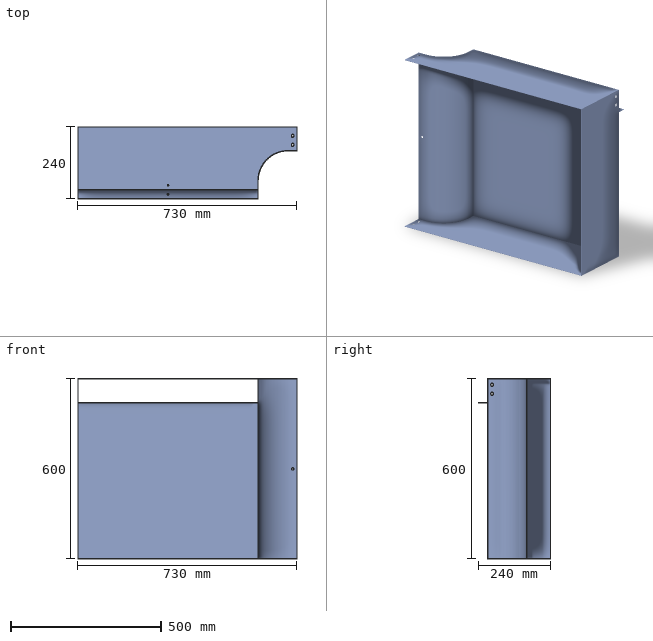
import cadquery as cq

LENGTH = 730.0
DEPTH = 210.0
HEIGHT = 600.0
SHEET = 1.0

OPENING = 80.0
FLANGE = 30.0
BEND_RADIUS = 100.0

BRACKET_SLOT_LENGTH = 10.0
BRACKET_SLOT_WIDTH = 7.0
SLOT_ANGLE = 90.0
LIP_HOLE_DIAMETER = 5.0
END_WALL_HOLE_DIAMETER = 7.0
HOLE_EDGE_DISTANCE = 15.0
SIDE_SLOT_DROPS = (20.0, 50.0)
END_SLOT_SETBACKS = (30.0, 60.0)

FRONT_LENGTH = LENGTH - FLANGE - BEND_RADIUS
FRONT_HEIGHT = HEIGHT - OPENING
END_WALL_Y = DEPTH - OPENING
BEND_START_Y = END_WALL_Y - BEND_RADIUS
BEND_CENTER_X = FRONT_LENGTH + BEND_RADIUS
BEND_SHIFT = BEND_RADIUS * 0.5 ** 0.5
CUT_MARGIN = 10.0


def box(x_range, y_range, z_range):
    """Box spanning the given coordinate ranges."""
    size = [high - low for low, high in (x_range, y_range, z_range)]
    corner = (x_range[0], y_range[0], z_range[0])
    return cq.Workplane("XY").box(*size, centered=False).translate(corner)


def plan_body(inset):
    """Full-height prism of the plan outline, with all walled sides moved in by inset."""
    side_x = FRONT_LENGTH - inset
    arc_shift = BEND_SHIFT * (1 + inset / BEND_RADIUS)
    return (
        cq.Workplane("XY")
        .moveTo(inset, inset)
        .lineTo(side_x, inset)
        .lineTo(side_x, BEND_START_Y)
        .threePointArc(
            (BEND_CENTER_X - arc_shift, BEND_START_Y + arc_shift),
            (BEND_CENTER_X, END_WALL_Y + inset),
        )
        .lineTo(LENGTH, END_WALL_Y + inset)
        .lineTo(LENGTH, DEPTH)
        .lineTo(inset, DEPTH)
        .close()
        .extrude(HEIGHT)
    )


def duct_shell():
    """Walls, top and bottom; the back and the +X end stay open."""
    inner_heights = box((0, LENGTH), (0, DEPTH), (SHEET, HEIGHT - SHEET))
    return plan_body(0).cut(plan_body(SHEET).intersect(inner_heights))


def front_opening():
    """Opening across the top of the front wall, between the side walls and under the top."""
    return box(
        (SHEET, FRONT_LENGTH - SHEET),
        (-CUT_MARGIN, SHEET),
        (FRONT_HEIGHT, HEIGHT - SHEET),
    )


def front_lip():
    """Lip bent outward along the lower edge of the front opening."""
    return box((0, FRONT_LENGTH), (-FLANGE, SHEET), (FRONT_HEIGHT - SHEET, FRONT_HEIGHT))


def vertical_hole(x, y, diameter, z_range):
    """Cutter along Z."""
    bottom, top = z_range
    return cq.Workplane("XY", origin=(x, y, bottom)).circle(diameter / 2).extrude(top - bottom)


def bracket_slots():
    """Paired slots beside both openings, through both facing sheets."""
    end_slots = (
        cq.Workplane("XY")
        .pushPoints([(LENGTH - HOLE_EDGE_DISTANCE, DEPTH - setback) for setback in END_SLOT_SETBACKS])
        .slot2D(BRACKET_SLOT_LENGTH, BRACKET_SLOT_WIDTH, SLOT_ANGLE)
        .extrude(HEIGHT)
    )
    side_slots = (
        cq.Workplane("YZ")
        .pushPoints([(HOLE_EDGE_DISTANCE, HEIGHT - drop) for drop in SIDE_SLOT_DROPS])
        .slot2D(BRACKET_SLOT_LENGTH, BRACKET_SLOT_WIDTH, SLOT_ANGLE)
        .extrude(FRONT_LENGTH)
    )
    return end_slots.union(side_slots)


def screw_holes():
    """Single holes at mid-length of the front lip, the top edge and the end wall."""
    middle_x = FRONT_LENGTH / 2
    lip_hole = vertical_hole(
        middle_x, -HOLE_EDGE_DISTANCE, LIP_HOLE_DIAMETER, (FRONT_HEIGHT - SHEET, FRONT_HEIGHT)
    )
    top_hole = vertical_hole(
        middle_x, HOLE_EDGE_DISTANCE, LIP_HOLE_DIAMETER, (HEIGHT - SHEET, HEIGHT)
    )
    end_hole = (
        cq.Workplane("XZ", origin=(LENGTH - HOLE_EDGE_DISTANCE, END_WALL_Y + SHEET, HEIGHT / 2))
        .circle(END_WALL_HOLE_DIAMETER / 2)
        .extrude(SHEET)
    )
    return lip_hole.union(top_hole).union(end_hole)


result = (
    duct_shell()
    .cut(front_opening())
    .union(front_lip())
    .cut(bracket_slots())
    .cut(screw_holes())
)